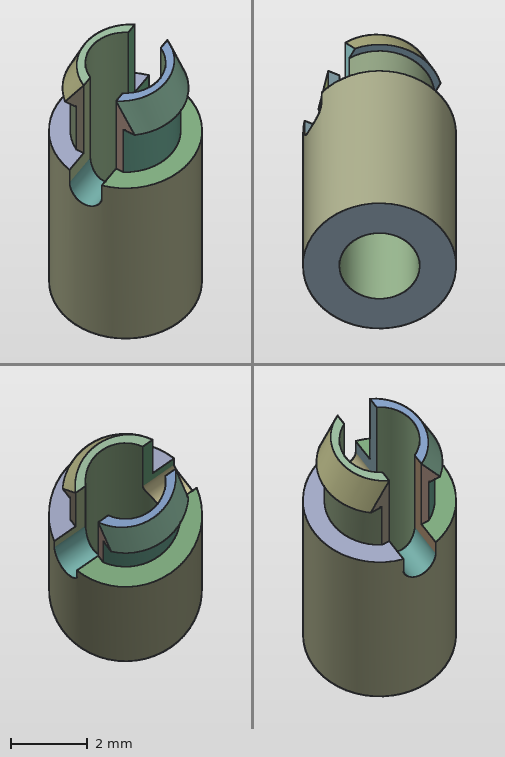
import cadquery as cq
import math

total_height = 8.7
body_diameter = 4.0
body_height = 6.0
neck_diameter = 2.89
barb_diameter = 3.3
tip_diameter = 2.5
barb_height = 1.0
flat_spacing = 2.5
bore_diameter = 2.1
slot_width = 1.0
slot_bottom = 5.0

barb_base = total_height - barb_height
slot_radius = slot_width / 2
slot_round_center = slot_bottom + slot_radius


def make_body():
    return cq.Workplane("XY").circle(body_diameter / 2).extrude(body_height)


def make_neck():
    """Round neck trimmed by two flats."""
    neck = cq.Workplane("XY").circle(neck_diameter / 2).extrude(barb_base)
    flats = cq.Workplane("XY").box(
        neck_diameter, flat_spacing, barb_base, centered=(True, True, False)
    )
    return neck.intersect(flats)


def barb_outline(plane, corner_x, crown_x):
    """Half outline of the barb: straight along the flats, arc bulging to +X."""
    half_flat = flat_spacing / 2
    return (
        plane.moveTo(0, -half_flat)
        .lineTo(corner_x, -half_flat)
        .threePointArc((crown_x, 0), (corner_x, half_flat))
        .lineTo(0, half_flat)
        .close()
    )


def make_barb():
    """Barb on the +X side, ruled from the wide base arc to the tip arc at the slot edges."""
    base_corner_x = math.sqrt(barb_diameter**2 - flat_spacing**2) / 2
    base = barb_outline(
        cq.Workplane("XY").workplane(offset=barb_base), base_corner_x, barb_diameter / 2
    )
    tip_plane = base.workplane(offset=barb_height)
    return barb_outline(tip_plane, slot_radius, tip_diameter / 2).loft(ruled=True)


def make_bore():
    return cq.Workplane("XY").circle(bore_diameter / 2).extrude(total_height)


def make_slot():
    """Round-bottomed slot along Y that splits the head into two prongs."""
    return (
        cq.Workplane("XZ")
        .moveTo(-slot_radius, total_height)
        .lineTo(-slot_radius, slot_round_center)
        .threePointArc((0, slot_bottom), (slot_radius, slot_round_center))
        .lineTo(slot_radius, total_height)
        .close()
        .extrude(body_diameter / 2, both=True)
    )


barb = make_barb()
solid_pin = make_body().union(make_neck()).union(barb).union(barb.mirror("YZ"))
result = solid_pin.cut(make_bore()).cut(make_slot())